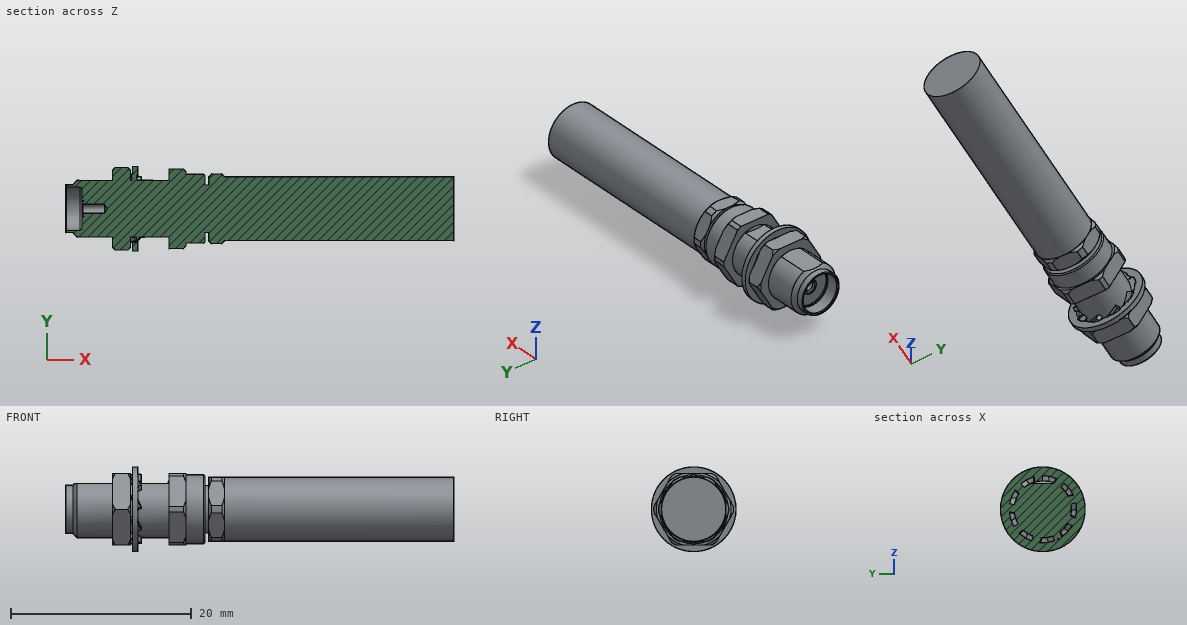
import math

import cadquery as cq

TOTAL_LENGTH = 43.01
OVERLAP = 0.1

NOSE_RADIUS = 2.67
NOSE_END = 0.8
BARREL_RADIUS = 3.175
BARREL_START = 1.28
BARREL_FLAT_HEIGHT = 2.87
FLAT_RUNOUT = 0.15

BORE_MOUTH_RADIUS = 2.5
BORE_RADIUS = 2.4
BORE_STEP_DEPTH = 1.6
INSULATOR_RADIUS = 2.28
BORE_DEPTH = 1.8
CONTACT_RADIUS = 0.9
CONTACT_GAP = 0.05
CONTACT_GAP_DEPTH = 0.2
PIN_HOLE_RADIUS = 0.48
PIN_HOLE_MOUTH_RADIUS = 0.64
PIN_HOLE_DEPTH = 2.5
PIN_HOLE_TIP_DEPTH = 0.3

WRENCH_SIZE = 7.94
NUT_START = 5.2
NUT_END = 7.2
NUT_CHAMFER = 0.3
BODY_HEX_START = 11.45
BODY_HEX_END = 13.35
BODY_HEX_CORNER_RADIUS = 4.43
BODY_HEX_CHAMFER = 0.3

WASHER_RADIUS = 4.7
WASHER_INNER_RADIUS = 3.7
WASHER_START = 7.4
WASHER_THICKNESS = 0.6
TOOTH_COUNT = 9
TOOTH_OUTER_RADIUS = 3.88
TOOTH_LENGTH = 1.6
TOOTH_THICKNESS = 0.55
TOOTH_TWIST = 25
TOOTH_MIDDLE = 7.8
FIRST_TOOTH_ANGLE = 13

COLLAR_RADIUS = 3.83
COLLAR_END = 15.45
COLLAR_CHAMFER = 0.15
NECK_RADIUS = 2.65
SLEEVE_START = 15.85
SLEEVE_RADIUS = 3.55
CRIMP_HEX_END = 17.6
CRIMP_HEX_SIZE = 2 * SLEEVE_RADIUS
CRIMP_HEX_CORNER_RADIUS = 3.89
CRIMP_HEX_CHAMFER = 0.3


def cylinder(start, end, radius):
    return cq.Workplane("YZ", origin=(start, 0, 0)).circle(radius).extrude(end - start)


def revolved(profile):
    """Turn a closed outline of (X, radius) points about the X axis."""
    return cq.Workplane("XY").polyline(profile).close().revolve(360, (0, 0), (1, 0))


def hexagon(start, end, across_flats, corner_radius, front_chamfer=0.0, rear_chamfer=0.0):
    """Hexagon trimmed by a turned blank, which rounds its corners and bevels its ends."""
    corner_diameter = across_flats / math.cos(math.radians(30))
    prism = (
        cq.Workplane("YZ", origin=(start, 0, 0))
        .polygon(6, corner_diameter)
        .extrude(end - start)
    )
    blank = cylinder(start, end, corner_radius)
    if front_chamfer:
        blank = blank.faces("<X").chamfer(front_chamfer)
    if rear_chamfer:
        blank = blank.faces(">X").chamfer(rear_chamfer)
    return prism.intersect(blank)


def make_barrel():
    barrel_end = BODY_HEX_START + OVERLAP
    barrel = revolved([
        (0, 0),
        (0, NOSE_RADIUS),
        (NOSE_END, NOSE_RADIUS),
        (BARREL_START, BARREL_RADIUS),
        (barrel_end, BARREL_RADIUS),
        (barrel_end, 0),
    ])
    above_flat = cq.Workplane("XY", origin=(0, 0, BARREL_FLAT_HEIGHT)).box(
        barrel_end, 2 * BARREL_RADIUS, BARREL_RADIUS, centered=(False, True, False)
    )
    runout = revolved([
        (BODY_HEX_START - FLAT_RUNOUT, 0),
        (BODY_HEX_START - FLAT_RUNOUT, BARREL_FLAT_HEIGHT),
        (BODY_HEX_START, BARREL_RADIUS),
        (barrel_end, BARREL_RADIUS),
        (barrel_end, 0),
    ])
    return barrel.cut(above_flat).union(runout)


def make_socket():
    """Cavity in the mating face: stepped bore, ring groove around the contact, and pin hole."""
    mouth_depth = BORE_MOUTH_RADIUS - BORE_RADIUS
    bore = revolved([
        (0, 0),
        (0, BORE_MOUTH_RADIUS),
        (mouth_depth, BORE_RADIUS),
        (BORE_STEP_DEPTH, BORE_RADIUS),
        (BORE_STEP_DEPTH, INSULATOR_RADIUS),
        (BORE_DEPTH, INSULATOR_RADIUS),
        (BORE_DEPTH, 0),
    ])
    groove_end = BORE_DEPTH + CONTACT_GAP_DEPTH
    groove = cylinder(BORE_DEPTH, groove_end, CONTACT_RADIUS).cut(
        cylinder(BORE_DEPTH, groove_end, CONTACT_RADIUS - CONTACT_GAP)
    )
    hole_end = BORE_DEPTH + PIN_HOLE_DEPTH
    pin_hole = revolved([
        (BORE_DEPTH, 0),
        (BORE_DEPTH, PIN_HOLE_MOUTH_RADIUS),
        (BORE_DEPTH + PIN_HOLE_MOUTH_RADIUS - PIN_HOLE_RADIUS, PIN_HOLE_RADIUS),
        (hole_end, PIN_HOLE_RADIUS),
        (hole_end + PIN_HOLE_TIP_DEPTH, 0),
    ])
    return bore.union(groove).union(pin_hole)


def make_nut():
    corner_radius = WRENCH_SIZE / 2 / math.cos(math.radians(30))
    nut = hexagon(NUT_START, NUT_END, WRENCH_SIZE, corner_radius, NUT_CHAMFER, NUT_CHAMFER)
    return nut.cut(cylinder(NUT_START, NUT_END, BARREL_RADIUS - OVERLAP / 2))


def make_lock_washer():
    washer_end = WASHER_START + WASHER_THICKNESS
    washer = cylinder(WASHER_START, washer_end, WASHER_RADIUS).cut(
        cylinder(WASHER_START, washer_end, WASHER_INNER_RADIUS)
    )
    tooth_zone = cylinder(NUT_END, BODY_HEX_START, TOOTH_OUTER_RADIUS).cut(
        cylinder(NUT_END, BODY_HEX_START, BARREL_RADIUS - OVERLAP / 2)
    )
    tooth = (
        cq.Workplane("XY")
        .box(TOOTH_THICKNESS, BARREL_RADIUS, TOOTH_LENGTH)
        .rotate((0, 0, 0), (0, 1, 0), -TOOTH_TWIST)
        .translate((TOOTH_MIDDLE, -TOOTH_OUTER_RADIUS, 0))
        .intersect(tooth_zone)
    )
    for index in range(TOOTH_COUNT):
        angle = FIRST_TOOTH_ANGLE + index * 360 / TOOTH_COUNT
        washer = washer.union(tooth.rotate((0, 0, 0), (1, 0, 0), -angle))
    return washer


def make_rear_body():
    body_hex = hexagon(
        BODY_HEX_START, BODY_HEX_END, WRENCH_SIZE, BODY_HEX_CORNER_RADIUS, rear_chamfer=BODY_HEX_CHAMFER
    )
    collar = cylinder(BODY_HEX_END - OVERLAP, COLLAR_END, COLLAR_RADIUS).faces(">X").chamfer(COLLAR_CHAMFER)
    neck = cylinder(COLLAR_END - OVERLAP, SLEEVE_START + OVERLAP, NECK_RADIUS)
    return body_hex.union(collar).union(neck)


def make_sleeve():
    crimp_hex = hexagon(
        SLEEVE_START,
        CRIMP_HEX_END,
        CRIMP_HEX_SIZE,
        CRIMP_HEX_CORNER_RADIUS,
        CRIMP_HEX_CHAMFER,
        CRIMP_HEX_CHAMFER,
    )
    return crimp_hex.union(cylinder(CRIMP_HEX_END - OVERLAP, TOTAL_LENGTH, SLEEVE_RADIUS))


result = (
    make_barrel()
    .cut(make_socket())
    .union(make_nut())
    .union(make_lock_washer())
    .union(make_rear_body())
    .union(make_sleeve())
)